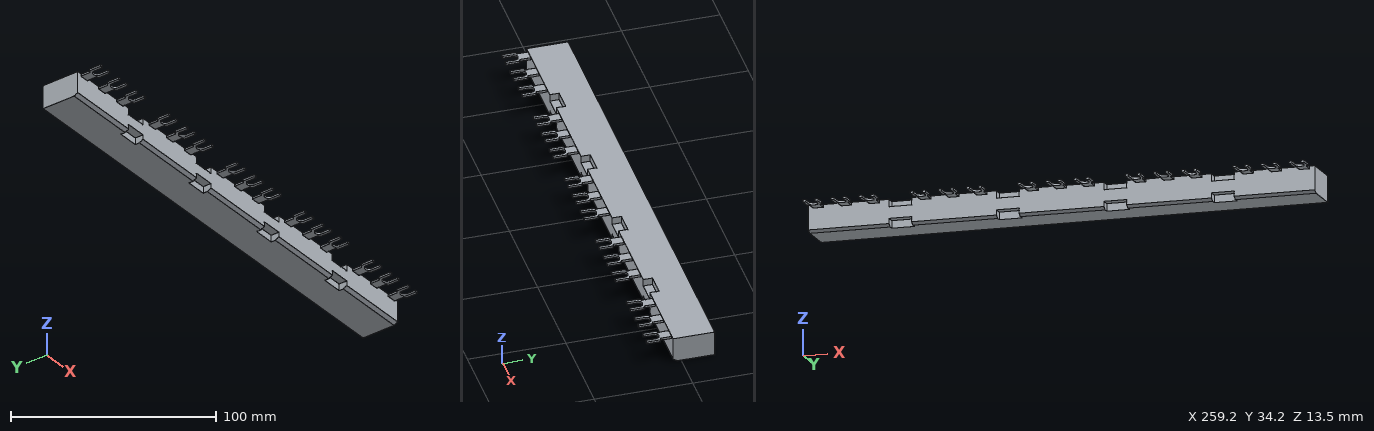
import cadquery as cq

length = 259.2
total_depth = 34.2
height = 13.5
fork_reach = 13.0
housing_depth = total_depth - fork_reach
edge_drop = 1.2
edge_run = 2.2

group_count = 5
group_pitch = 55.0
forks_per_group = 3
fork_pitch = 14.4
fork_drop = 0.3
fork_thickness = 1.2
neck_width = 5.2
neck_length = 5.5
fork_width = 7.8
shoulder_drop = 0.6
slot_width = 4.5
slot_radius = slot_width / 2
slot_end = 5.8

pocket_count = group_count - 1
pocket_width = 11.6
pocket_depth = 4.7
pocket_height = 3.8


def centred_positions(count, pitch):
    return [(i - (count - 1) / 2) * pitch for i in range(count)]


def make_housing():
    """Bar with a chamfered lower front edge; its front face lies at Y = 0."""
    profile = [
        (0, 0),
        (housing_depth, 0),
        (housing_depth, -height),
        (edge_run, -height),
        (0, edge_drop - height),
    ]
    return cq.Workplane("YZ").polyline(profile).close().extrude(length / 2, both=True)


def make_pocket(x, z_bottom):
    """Cutter for one pocket, open to the front face."""
    pocket = cq.Workplane("XY").box(pocket_width, pocket_depth, pocket_height, centered=(True, False, False))
    return pocket.translate((x, 0, z_bottom))


def make_fork(x):
    """Flat terminal: narrow neck, then two prongs around a round-ended slot."""
    half_neck = neck_width / 2
    half_fork = fork_width / 2
    shoulder_y = -(neck_length + shoulder_drop)
    arc_start = -(slot_end + slot_radius)
    outline = (
        cq.Workplane("XY")
        .moveTo(-half_neck, 0)
        .lineTo(-half_neck, -neck_length)
        .lineTo(-half_fork, shoulder_y)
        .lineTo(-half_fork, -fork_reach)
        .lineTo(-slot_radius, -fork_reach)
        .lineTo(-slot_radius, arc_start)
        .threePointArc((0, -slot_end), (slot_radius, arc_start))
        .lineTo(slot_radius, -fork_reach)
        .lineTo(half_fork, -fork_reach)
        .lineTo(half_fork, shoulder_y)
        .lineTo(half_neck, -neck_length)
        .lineTo(half_neck, 0)
        .close()
    )
    return outline.extrude(-fork_thickness).translate((x, 0, -fork_drop))


result = make_housing()

for pocket_x in centred_positions(pocket_count, group_pitch):
    result = result.cut(make_pocket(pocket_x, -pocket_height))
    result = result.cut(make_pocket(pocket_x, -height))

for group_x in centred_positions(group_count, group_pitch):
    for fork_offset in centred_positions(forks_per_group, fork_pitch):
        result = result.union(make_fork(group_x + fork_offset))